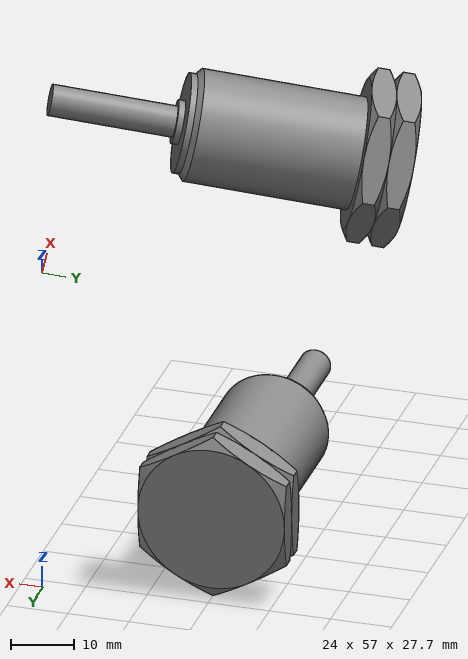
import cadquery as cq
import math

nut_width = 24.0
nut_thickness = 4.0
nut_count = 2
nut_chamfer_angle = 30.0
nut_sides = 6
nut_half_sector = 180 / nut_sides
nut_corner_diameter = nut_width / math.cos(math.radians(nut_half_sector))

housing_diameter = 18.0
housing_end = 36.0
cap_diameter = 16.0
cap_length = 1.0
shoulder_length = 0.85

collar_diameter = 7.0
collar_length = 1.0
cable_diameter = 5.0
total_length = 57.0

indicator_diameter = 1.0
indicator_offset = 5.0
indicator_depth = 0.5
indicator_dome_height = 0.4


def cylinder(diameter, start, end):
    """Cylinder along -Y between two distances from the back face."""
    plane = cq.Workplane("XZ", origin=(0, -start, 0))
    return plane.circle(diameter / 2).extrude(end - start)


def chamfered_nut(start):
    """Hexagonal nut with corners at +Z and -Z, cut conically on both faces."""
    hexagon = (
        cq.Workplane("XZ", origin=(0, -start, 0))
        .polygon(nut_sides, nut_corner_diameter)
        .extrude(nut_thickness)
        .rotate((0, 0, 0), (0, 1, 0), nut_half_sector)
    )
    corner_radius = nut_corner_diameter / 2
    face_radius = nut_width / 2
    drop = (corner_radius - face_radius) * math.tan(math.radians(nut_chamfer_angle))
    envelope = (
        cq.Workplane("XY")
        .moveTo(0, -start)
        .lineTo(face_radius, -start)
        .lineTo(corner_radius, -start - drop)
        .lineTo(corner_radius, -start - nut_thickness + drop)
        .lineTo(face_radius, -start - nut_thickness)
        .lineTo(0, -start - nut_thickness)
        .close()
        .revolve(360, (0, 0, 0), (0, 1, 0))
    )
    return hexagon.intersect(envelope)


def housing():
    """Housing barrel, conical shoulder and end cap as one turned body."""
    cap_start = housing_end - cap_length
    return (
        cq.Workplane("XY")
        .lineTo(housing_diameter / 2, 0)
        .lineTo(housing_diameter / 2, -(cap_start - shoulder_length))
        .lineTo(cap_diameter / 2, -cap_start)
        .lineTo(cap_diameter / 2, -housing_end)
        .lineTo(0, -housing_end)
        .close()
        .revolve(360, (0, 0, 0), (0, 1, 0))
    )


def indicator_recess():
    """Round hole in the cap face whose floor bulges outward as a dome."""
    radius = indicator_diameter / 2
    height = indicator_dome_height
    dome_radius = (radius**2 + height**2) / (2 * height)
    floor = -(housing_end - indicator_depth)
    hole = cylinder(indicator_diameter, housing_end - indicator_depth, housing_end)
    dome_center = floor - height + dome_radius
    dome = cq.Workplane("XY").sphere(dome_radius).translate((0, dome_center, 0))
    return hole.cut(dome).translate((0, 0, indicator_offset))


collar_end = housing_end + collar_length
result = housing()
for index in range(nut_count):
    result = result.union(chamfered_nut(index * nut_thickness))
result = result.union(cylinder(collar_diameter, housing_end, collar_end))
result = result.union(cylinder(cable_diameter, collar_end, total_length))
result = result.cut(indicator_recess())